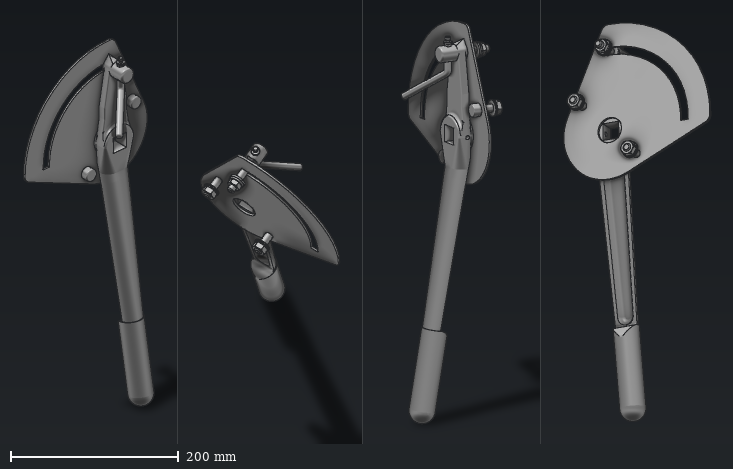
import cadquery as cq
import math


PLATE_T = 3.0
SMALL_R = 62.0
LARGE_R = 134.3
SECTOR_MID = 45.0
EDGE_ANGLE = 23.8
CORNER_R = 10.0
SLOT_R = 100.0
SLOT_W = 10.0
SLOT_OVERRUN = 3.5

BOLT_OFFSET = 36.0
BOLT_D = 10.0
BOLT_TIP_X = -26.5
TIP_CHAMFER = 1.5
CAP_D = 16.0
CAP_LEN = 10.0
CAP_FILLET = 1.5
BOLT_NUT_FLATS = 16.0
BOLT_NUT_BACK_X = -25.0
NUT_CHAMFER_RISE = 1.0
FLANGE_D = 19.0
WASHER_D = 20.0
BOLT_WASHER_T = 1.5
NUT_SEAT_X = -18.0

PIN_D = 9.5
PIN_TIP_X = -31.0
PIN_NUT_FLATS = 15.0
PIN_NUT_BACK_X = -24.0
PIN_WASHER_T = 2.5
BOSS_R = 10.0
BOSS_END_X = 37.9
BOSS_FILLET = 3.0
POINTER_RISE = 16.0
POINTER_SLOPE = 26.0

CROSS_X = 24.6
NIPPLE_BASE_FLATS = 8.0
NIPPLE_COLLAR_D = 10.5
NIPPLE_NECK_D = 5.0
NIPPLE_TIP_D = 6.65
NIPPLE_BASE_H = 2.5
NIPPLE_COLLAR_H = 2.0
NIPPLE_NECK_H = 2.5
NIPPLE_TIP_H = 4.0
NIPPLE_BEVEL = 1.0
ROD_D = 9.0
ROD_BEND_Z = 76.8
ROD_BEND_R = 7.5
ROD_END = (64.4, -39.0, 43.0)
ROD_END_FILLET = 2.0

HUB_R = 23.5
HUB_OUTER_X = 23.0
HUB_FILLET = 3.0
PIVOT_HOLE_D = 31.5
BORE_SQUARE = 21.0
SET_SCREW_D = 5.0
SET_SCREW_X = 10.8
HUB_ROOT_R = 4.5
ARM_BACK_X = 6.0
ARM_FRONT_X = 16.0
ARM_FILLET = 1.5
ARM_TAPER = 9.0
SHOULDER_HALF_W = 18.0
SHOULDER_LOW_Z = 36.0
SHOULDER_HIGH_Z = 52.0

TILT = 10.0
GRIP_R = 16.0
GRIP_LEN = 99.5
GRIP_END_X = 59.85
OVERALL_HEIGHT = 483.9
GRIP_END_Z = LARGE_R - OVERALL_HEIGHT + GRIP_R
ARM_DEPTH = 15.0
ARM_ROUND_R = 14.0
ARM_LEN = 185.5
ARM_TOP_HALF_W = 19.7
ARM_END_HALF_W = 14.5
BEND_Z = -40.0
BEND_HALF_W = 20.2
GROOVE_DEPTH = 7.0
GROOVE_TOP_HALF_W = 13.9
GROOVE_END_HALF_W = 10.3
GRIP_ROOT_R = 2.0
GROOVE_END_GAP = 12.5

OVERLAP = 1.0
OVERSIZE = 200.0

SIN_TILT = math.sin(math.radians(TILT))
COS_TILT = math.cos(math.radians(TILT))


def polar(radius, degrees):
    angle = math.radians(degrees)
    return radius * math.cos(angle), radius * math.sin(angle)


def bar_x(x_start, x_end, diameter, y=0.0, z=0.0):
    """Round bar along X."""
    return cq.Workplane("YZ", origin=(x_start, y, z)).circle(diameter / 2).extrude(x_end - x_start)


def hex_diameter(flats):
    return flats / math.cos(math.radians(30))


def sector_plate():
    upper_facing = EDGE_ANGLE
    lower_facing = -90 - EDGE_ANGLE
    upper_tangent = polar(SMALL_R, upper_facing)
    lower_tangent = polar(SMALL_R, lower_facing)
    corner_spread = math.degrees(math.acos(SMALL_R / LARGE_R))
    upper_corner = polar(LARGE_R, upper_facing + corner_spread)
    lower_corner = polar(LARGE_R, lower_facing - corner_spread)
    outer_mid = polar(LARGE_R, 180 - SECTOR_MID)
    inner_mid = polar(SMALL_R, -SECTOR_MID)
    plate = (
        cq.Workplane("YZ")
        .moveTo(*upper_tangent)
        .lineTo(*upper_corner)
        .threePointArc(outer_mid, lower_corner)
        .lineTo(*lower_tangent)
        .threePointArc(inner_mid, upper_tangent)
        .close()
        .extrude(PLATE_T)
    )
    for y, z in (upper_corner, lower_corner):
        corner = cq.selectors.NearestToPointSelector((PLATE_T / 2, y, z))
        plate = plate.edges("|X").edges(corner).fillet(CORNER_R)
    return plate.cut(index_slot()).cut(bar_x(0, PLATE_T, PIVOT_HOLE_D))


def index_slot():
    ring = (
        cq.Workplane("YZ")
        .circle(SLOT_R + SLOT_W / 2)
        .circle(SLOT_R - SLOT_W / 2)
        .extrude(PLATE_T)
    )
    quadrant = (
        cq.Workplane("YZ", origin=(0, SLOT_OVERRUN, -SLOT_OVERRUN))
        .rect(-OVERSIZE, OVERSIZE, centered=False)
        .extrude(PLATE_T)
    )
    return ring.intersect(quadrant)


def flange_nut(flats, back_x, washer_t, y, z):
    """Hexagon nut with a bevelled back face, its flange and a washer."""
    corners = hex_diameter(flats)
    height = NUT_SEAT_X - back_x
    hexagon = (
        cq.Workplane("YZ", origin=(back_x, y, z))
        .polygon(6, corners)
        .extrude(height)
    )
    bevel = bar_x(back_x, NUT_SEAT_X, corners, y, z).faces("<X").chamfer(
        NUT_CHAMFER_RISE, (corners - flats) / 2
    )
    flange_end = NUT_SEAT_X + washer_t
    flange = bar_x(NUT_SEAT_X, flange_end, FLANGE_D, y, z)
    washer = bar_x(flange_end, flange_end + washer_t, WASHER_D, y, z)
    return hexagon.intersect(bevel).union(flange).union(washer)


def plate_bolt(y, z):
    shank = bar_x(BOLT_TIP_X, PLATE_T + OVERLAP, BOLT_D, y, z).faces("<X").chamfer(TIP_CHAMFER)
    cap = bar_x(PLATE_T, PLATE_T + CAP_LEN, CAP_D, y, z).faces(">X").edges().fillet(CAP_FILLET)
    nut = flange_nut(BOLT_NUT_FLATS, BOLT_NUT_BACK_X, BOLT_WASHER_T, y, z)
    return shank.union(cap).union(nut)


def index_pin():
    pin = bar_x(PIN_TIP_X, ARM_BACK_X, PIN_D, 0, SLOT_R).faces("<X").chamfer(TIP_CHAMFER)
    return pin.union(flange_nut(PIN_NUT_FLATS, PIN_NUT_BACK_X, PIN_WASHER_T, 0, SLOT_R))


def pin_boss():
    boss = bar_x(PLATE_T, BOSS_END_X, 2 * BOSS_R, 0, SLOT_R)
    return boss.faces(">X").edges().fillet(BOSS_FILLET).union(pointer())


def pointer():
    """Wedge tangent to the boss, its ridge falling away from the plate."""
    tangent_angle = math.degrees(math.asin(BOSS_R / POINTER_RISE))
    tangent_y, tangent_z = polar(BOSS_R, tangent_angle)
    wedge = (
        cq.Workplane("YZ", origin=(PLATE_T, 0, SLOT_R))
        .polyline([(0, 0), (tangent_y, tangent_z), (0, POINTER_RISE), (-tangent_y, tangent_z)])
        .close()
        .extrude(ARM_FRONT_X - PLATE_T)
    )
    return wedge.cut(
        cq.Workplane("XY")
        .box(OVERSIZE, OVERSIZE, OVERSIZE, centered=(True, True, False))
        .rotate((0, 0, 0), (0, 1, 0), POINTER_SLOPE)
        .translate((PLATE_T, 0, SLOT_R + POINTER_RISE))
    )


def grease_nipple():
    base_z = SLOT_R + BOSS_R
    nipple = (
        cq.Workplane("XY", origin=(CROSS_X, 0, base_z - OVERLAP))
        .polygon(6, hex_diameter(NIPPLE_BASE_FLATS))
        .extrude(NIPPLE_BASE_H + OVERLAP)
    )
    steps = (
        (NIPPLE_COLLAR_D, NIPPLE_COLLAR_H),
        (NIPPLE_NECK_D, NIPPLE_NECK_H),
        (NIPPLE_TIP_D, NIPPLE_TIP_H),
    )
    for diameter, height in steps:
        nipple = nipple.faces(">Z").workplane().circle(diameter / 2).extrude(height)
    return nipple.faces(">Z").chamfer(NIPPLE_BEVEL)


def locking_rod():
    start = cq.Vector(CROSS_X, 0, SLOT_R)
    bend = cq.Vector(CROSS_X, 0, ROD_BEND_Z)
    end = cq.Vector(*ROD_END)
    down = cq.Vector(0, 0, -1)
    outward = (end - bend).normalized()
    turn = down.getAngle(outward)
    tangent_len = ROD_BEND_R * math.tan(turn / 2)
    bend_in = bend - down * tangent_len
    bend_out = bend + outward * tangent_len
    inward = (outward - down).normalized()
    bend_mid = bend + inward * (ROD_BEND_R / math.cos(turn / 2) - ROD_BEND_R)
    path = cq.Wire.assembleEdges([
        cq.Edge.makeLine(start, bend_in),
        cq.Edge.makeThreePointArc(bend_in, bend_mid, bend_out),
        cq.Edge.makeLine(bend_out, end),
    ])
    rod = cq.Workplane("XY", origin=start.toTuple()).circle(ROD_D / 2).sweep(cq.Workplane(path))
    end_face = cq.selectors.NearestToPointSelector(ROD_END)
    return rod.faces(end_face).edges().fillet(ROD_END_FILLET)


def hub():
    upper_half = (
        bar_x(PLATE_T, HUB_OUTER_X, 2 * HUB_R)
        .faces(">X").edges().fillet(HUB_FILLET)
        .intersect(cq.Workplane("XY").box(OVERSIZE, OVERSIZE, OVERSIZE, centered=(True, True, False)))
    )
    back_disc = bar_x(PLATE_T, ARM_BACK_X, 2 * HUB_R)
    return upper_half.union(back_disc).union(hub_root())


def hub_root():
    """Concave ring between the hub and the front of the upper arm, trimmed to the arm's sides."""
    toe_r = HUB_R + HUB_ROOT_R
    top_x = ARM_FRONT_X + HUB_ROOT_R
    inset = HUB_ROOT_R * math.sqrt(0.5)
    ring = (
        cq.Workplane("XY")
        .moveTo(ARM_FRONT_X - ARM_FILLET, HUB_R - OVERLAP)
        .lineTo(top_x, HUB_R - OVERLAP)
        .lineTo(top_x, HUB_R)
        .threePointArc((top_x - inset, toe_r - inset), (ARM_FRONT_X, toe_r))
        .lineTo(ARM_FRONT_X - ARM_FILLET, toe_r)
        .close()
        .revolve(360, (0, 0), (1, 0))
    )
    return ring.intersect(arm_prism(top_x))


def arm_prism(front_x):
    """Upper arm outline, its sides leaving the hub and meeting the boss as tangents."""
    hub_y, hub_z = polar(HUB_R, ARM_TAPER)
    boss_y, boss_z = polar(BOSS_R, ARM_TAPER)
    side = [
        (hub_y, hub_z),
        (SHOULDER_HALF_W, SHOULDER_LOW_Z),
        (SHOULDER_HALF_W, SHOULDER_HIGH_Z),
        (boss_y, SLOT_R + boss_z),
    ]
    mirrored = [(-y, z) for y, z in reversed(side)]
    return (
        cq.Workplane("YZ", origin=(ARM_BACK_X, 0, 0))
        .polyline(side + mirrored)
        .close()
        .extrude(front_x - ARM_BACK_X)
    )


def upper_arm():
    return arm_prism(ARM_FRONT_X).faces(">X").edges("not |Y").fillet(ARM_FILLET)


def tilted_plane(distance_above_end):
    """Plane across the grip axis; its local axes are Y and the direction away from the plate."""
    origin = (
        GRIP_END_X - distance_above_end * SIN_TILT,
        0,
        GRIP_END_Z + distance_above_end * COS_TILT,
    )
    return cq.Plane(origin=origin, xDir=(0, 1, 0), normal=(SIN_TILT, 0, -COS_TILT))


def level_plane(z):
    return cq.Plane(origin=(0, 0, z), xDir=(0, 1, 0), normal=(0, 0, -1))


def axis_x(z):
    """X of the grip axis at a height."""
    return GRIP_END_X - (z - GRIP_END_Z) * SIN_TILT / COS_TILT


def rounded_section(plane, back, front, half_w, radius):
    """Section flat towards the plate, with both far corners rounded."""
    inset = radius * (1 - math.sqrt(0.5))
    return (
        cq.Workplane(plane)
        .moveTo(-half_w, back)
        .lineTo(half_w, back)
        .lineTo(half_w, front - radius)
        .threePointArc((half_w - inset, front - inset), (half_w - radius, front))
        .lineTo(radius - half_w, front)
        .threePointArc((inset - half_w, front - inset), (-half_w, front - radius))
        .close()
        .val()
    )


def groove_section(plane, half_w):
    """Flat-bottomed groove with quarter-round walls, open towards the plate."""
    floor_half_w = half_w - GROOVE_DEPTH
    wall_mid = GROOVE_DEPTH * math.sqrt(0.5)
    return (
        cq.Workplane(plane)
        .moveTo(-half_w, 0)
        .threePointArc((-floor_half_w - wall_mid, wall_mid), (-floor_half_w, GROOVE_DEPTH))
        .lineTo(floor_half_w, GROOVE_DEPTH)
        .threePointArc((floor_half_w + wall_mid, wall_mid), (half_w, 0))
        .close()
        .val()
    )


def ruled_body(first, second):
    return cq.Workplane(cq.Solid.makeLoft([first, second], True))


def lower_arm():
    arm_top = tilted_plane(GRIP_LEN + ARM_LEN)
    arm_end = tilted_plane(GRIP_LEN - OVERLAP)
    hub_lower = ruled_body(
        rounded_section(level_plane(0), ARM_BACK_X, HUB_OUTER_X, HUB_R, HUB_FILLET),
        rounded_section(level_plane(BEND_Z), ARM_BACK_X, HUB_OUTER_X, BEND_HALF_W, ARM_ROUND_R),
    )
    behind_arm = (
        cq.Workplane(tilted_plane(0))
        .rect(OVERSIZE, -OVERSIZE, centered=(True, False))
        .extrude(-2 * OVERSIZE)
    )
    bend = ruled_body(
        rounded_section(level_plane(BEND_Z), axis_x(BEND_Z), HUB_OUTER_X, BEND_HALF_W, ARM_ROUND_R),
        rounded_section(arm_top, 0, ARM_DEPTH, ARM_TOP_HALF_W, ARM_ROUND_R),
    )
    straight = ruled_body(
        rounded_section(arm_top, 0, ARM_DEPTH, ARM_TOP_HALF_W, ARM_ROUND_R),
        rounded_section(arm_end, 0, ARM_DEPTH, ARM_END_HALF_W, ARM_ROUND_R),
    )
    return hub_lower.cut(behind_arm).union(bend).union(straight.cut(arm_groove()))


def arm_groove():
    groove_end = tilted_plane(GRIP_LEN + GROOVE_END_GAP)
    trough = ruled_body(
        groove_section(tilted_plane(GRIP_LEN + ARM_LEN), GROOVE_TOP_HALF_W),
        groove_section(groove_end, GROOVE_END_HALF_W),
    )
    floor_half_w = GROOVE_END_HALF_W - GROOVE_DEPTH
    wall_mid = GROOVE_DEPTH * math.sqrt(0.5)
    round_end = (
        cq.Workplane(groove_end)
        .lineTo(GROOVE_END_HALF_W, 0)
        .threePointArc((floor_half_w + wall_mid, wall_mid), (floor_half_w, GROOVE_DEPTH))
        .lineTo(0, GROOVE_DEPTH)
        .close()
        .revolve(360, (0, 0), (0, 1))
    )
    return trough.union(round_end)


def shoulder_plane():
    """Middle plane of the grip; local axes point away from the plate and up the arm."""
    return cq.Plane(
        origin=tilted_plane(GRIP_LEN).origin.toTuple(),
        xDir=(COS_TILT, 0, SIN_TILT),
        normal=(0, -1, 0),
    )


def grip():
    """Round grip with a domed end; its shoulder next to the arm is rounded along Y."""
    body = cq.Workplane(tilted_plane(GRIP_LEN)).circle(GRIP_R).extrude(GRIP_LEN)
    quarter = GRIP_R * math.sqrt(0.5)
    shoulder_waste = (
        cq.Workplane(shoulder_plane())
        .moveTo(0, 0)
        .threePointArc((-quarter, quarter - GRIP_R), (-GRIP_R, -GRIP_R))
        .lineTo(-GRIP_R - OVERLAP, -GRIP_R)
        .lineTo(-GRIP_R - OVERLAP, OVERLAP)
        .lineTo(0, OVERLAP)
        .close()
        .extrude(GRIP_R + OVERLAP, both=True)
    )
    dome = cq.Workplane(tilted_plane(0)).sphere(GRIP_R)
    return body.cut(shoulder_waste).union(dome)


def grip_root():
    """Concave round tangent to the flat side of the arm and to the grip shoulder."""
    reach = GRIP_R + GRIP_ROOT_R
    centre_height = math.sqrt(reach**2 - GRIP_ROOT_R**2) - GRIP_R
    toe_scale = GRIP_R / reach
    toe = (-GRIP_ROOT_R * toe_scale, (centre_height + GRIP_R) * toe_scale - GRIP_R)
    inset = GRIP_ROOT_R * (1 - math.sqrt(0.5))
    return (
        cq.Workplane(shoulder_plane())
        .moveTo(0, centre_height)
        .threePointArc((-inset, centre_height - GRIP_ROOT_R + inset), toe)
        .lineTo(toe[0], -OVERLAP)
        .lineTo(OVERLAP, -OVERLAP)
        .lineTo(OVERLAP, centre_height)
        .close()
        .extrude(ARM_END_HALF_W, both=True)
    )


def square_bore():
    return cq.Workplane("YZ").rect(BORE_SQUARE, BORE_SQUARE).extrude(HUB_OUTER_X)


def set_screw_hole():
    """Hole from the bore out through the +Y side of the hub."""
    return cq.Workplane("XZ", origin=(SET_SCREW_X, 0, 0)).circle(SET_SCREW_D / 2).extrude(-HUB_R - OVERLAP)


lever = hub().union(upper_arm()).union(lower_arm()).union(grip()).union(grip_root())
lever = lever.union(pin_boss()).union(grease_nipple()).union(locking_rod())

result = sector_plate().union(lever).union(index_pin())
for side in (1, -1):
    result = result.union(plate_bolt(side * BOLT_OFFSET, side * BOLT_OFFSET))
result = result.cut(square_bore()).cut(set_screw_hole())